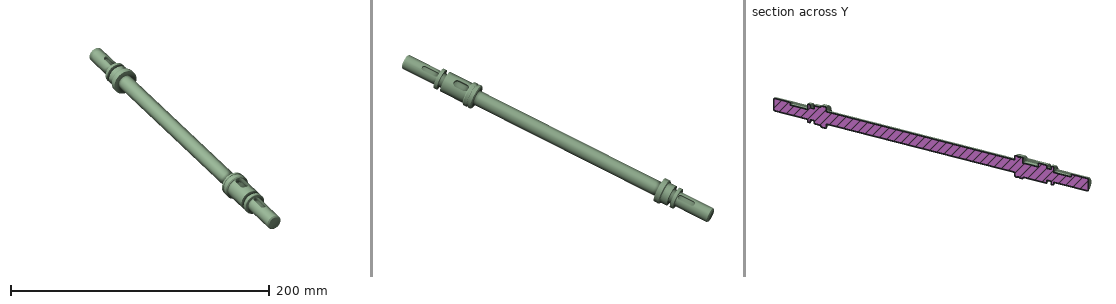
import cadquery as cq

length = 270.2
shaft_dia = 12.0
seat_dia = 17.0
relief_dia = 11.3
collar_dia = 20.0
end_chamfer = 1.0
collar_chamfer = 0.8
ring_chamfer = 0.3

left_ring = (29.2, 32.0)
left_seat = (34.9, 40.5)
left_collar = (left_seat[1], 45.5)

right_collar = (206.7, 214.3)
right_seat = (right_collar[1], 234.5)
right_ring = (237.8, 240.5)

groove_start = 209.0
groove_width = 1.5
groove_depth = 0.5

end_key_length = 14.5
end_key_width = 4.0
end_key_depth = 2.5
seat_key_start = 214.0
seat_key_length = 13.0
seat_key_width = 6.0
seat_key_depth = 3.5


def cylinder(span, diameter):
    """Cylinder on the X axis between the two ends of the span."""
    start, end = span
    return cq.Workplane("YZ").workplane(offset=start).circle(diameter / 2).extrude(end - start)


def ring_cutter(span, outer_dia, inner_dia):
    """Tube on the X axis that cuts a groove down to the inner diameter."""
    return cylinder(span, outer_dia).cut(cylinder(span, inner_dia))


def keyway(start, slot_length, width, depth, diameter):
    """Round-ended slot, sunk from the top of a cylinder of the given diameter."""
    return (
        cq.Workplane("XY")
        .workplane(offset=diameter / 2 - depth)
        .center(start + slot_length / 2, 0)
        .slot2D(slot_length, width)
        .extrude(depth)
    )


result = cylinder((0, length), shaft_dia).faces("<X or >X").chamfer(end_chamfer)

result = result.union(cylinder(left_seat, seat_dia)).union(cylinder(right_seat, seat_dia))
result = result.union(cylinder(left_ring, seat_dia).faces("<X").chamfer(ring_chamfer))
result = result.union(cylinder(right_ring, seat_dia).faces(">X").chamfer(ring_chamfer))
result = result.union(cylinder(left_collar, collar_dia).faces("<X").chamfer(collar_chamfer))
result = result.union(cylinder(right_collar, collar_dia).faces("<X or >X").chamfer(collar_chamfer))

groove_span = (groove_start, groove_start + groove_width)
result = result.cut(ring_cutter((left_ring[1], left_seat[0]), seat_dia, relief_dia))
result = result.cut(ring_cutter((right_seat[1], right_ring[0]), seat_dia, relief_dia))
result = result.cut(ring_cutter(groove_span, collar_dia, collar_dia - 2 * groove_depth))

for key_start in (left_ring[0] - end_key_length, right_ring[1]):
    result = result.cut(keyway(key_start, end_key_length, end_key_width, end_key_depth, shaft_dia))

result = result.cut(keyway(seat_key_start, seat_key_length, seat_key_width, seat_key_depth, seat_dia))